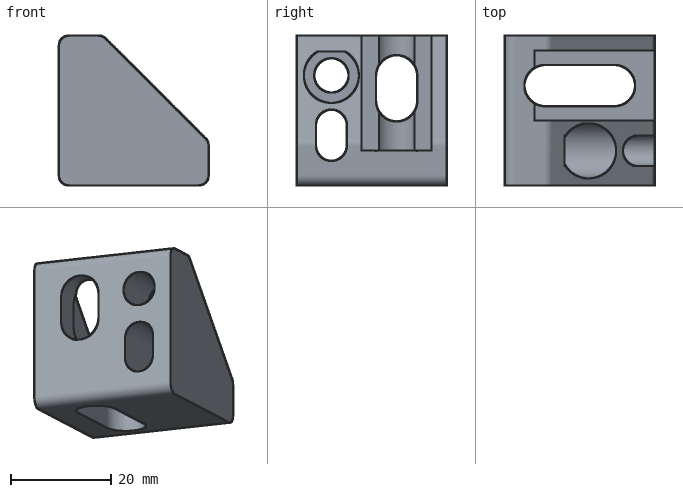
import cadquery as cq

SIZE = 30.0
CORNER_RADIUS = 2.0
LEDGE = 8.8

WALL = 6.0
FLOOR = 7.0
POCKET_CENTER_Y = 19.98
POCKET_WIDTH = 14.0

MOUNT_SLOT_WIDTH = 8.2
FLOOR_SLOT_LENGTH = 22.08
WALL_SLOT_LENGTH = 13.2
WALL_SLOT_TOP = (SIZE + FLOOR_SLOT_LENGTH) / 2

HOLE_CENTER_Y = 6.93
HOLE_CENTER_Z = 22.02
HOLE_DIAMETER = 6.8
COUNTERBORE_DIAMETER = 11.0
COUNTERBORE_FLOOR_X = 12.0
SMALL_SLOT_CENTER_Z = 10.05
SMALL_SLOT_WIDTH = 6.12
SMALL_SLOT_LENGTH = 10.2


def make_body():
    """Square block with the top +X corner cut away at 45 degrees and all profile corners rounded."""
    outline = [(0, 0), (SIZE, 0), (SIZE, LEDGE), (LEDGE, SIZE), (0, SIZE)]
    block = cq.Workplane("XZ").polyline(outline).close().extrude(-SIZE)
    return block.edges("|Y").fillet(CORNER_RADIUS)


def make_pocket():
    """Open pocket behind the slope."""
    length = SIZE - WALL
    height = SIZE - FLOOR
    start_y = POCKET_CENTER_Y - POCKET_WIDTH / 2
    pocket = cq.Workplane().box(length, POCKET_WIDTH, height, centered=False)
    return pocket.translate((WALL, start_y, FLOOR))


def slot_along_x(y, z, length, width, depth):
    """Upright slot running along X from the back face."""
    return cq.Workplane("YZ").center(y, z).slot2D(length, width, 90).extrude(depth)


def cylinder_along_x(start_x, end_x, diameter):
    """Cylinder on the axis of the counterbored hole."""
    plane = cq.Workplane("YZ", origin=(start_x, HOLE_CENTER_Y, HOLE_CENTER_Z))
    return plane.circle(diameter / 2).extrude(end_x - start_x)


floor_slot = (
    cq.Workplane("XY")
    .center(SIZE / 2, POCKET_CENTER_Y)
    .slot2D(FLOOR_SLOT_LENGTH, MOUNT_SLOT_WIDTH)
    .extrude(SIZE)
)
wall_slot_center_z = WALL_SLOT_TOP - WALL_SLOT_LENGTH / 2
wall_slot = slot_along_x(POCKET_CENTER_Y, wall_slot_center_z, WALL_SLOT_LENGTH, MOUNT_SLOT_WIDTH, WALL)
small_slot = slot_along_x(HOLE_CENTER_Y, SMALL_SLOT_CENTER_Z, SMALL_SLOT_LENGTH, SMALL_SLOT_WIDTH, SIZE)

result = (
    make_body()
    .cut(make_pocket())
    .cut(floor_slot)
    .cut(wall_slot)
    .cut(cylinder_along_x(0, SIZE, HOLE_DIAMETER))
    .cut(cylinder_along_x(COUNTERBORE_FLOOR_X, SIZE, COUNTERBORE_DIAMETER))
    .cut(small_slot)
)